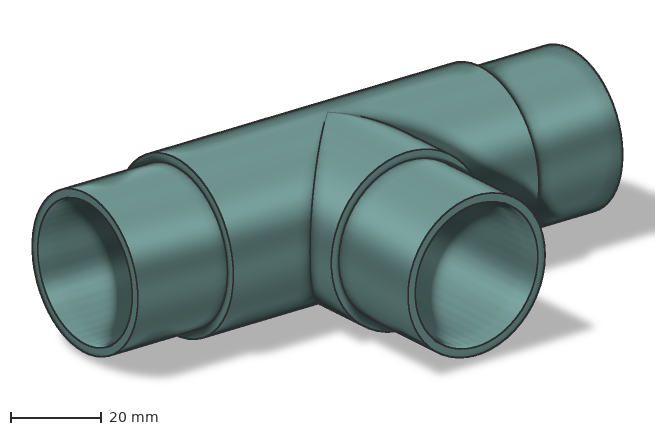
import cadquery as cq

total_length = 135.0
body_diameter = 42.4
spigot_diameter = 38.2
bore_diameter = 34.2
spigot_length = 25.0
branch_reach = 53.9

body_length = total_length - 2 * spigot_length
branch_body_reach = branch_reach - spigot_length


def run_cylinder(diameter, length):
    """Cylinder along Y, centred on the origin."""
    return cq.Workplane("XZ").circle(diameter / 2).extrude(length / 2, both=True)


def branch_cylinder(diameter, reach):
    """Cylinder along X, from the run axis outwards."""
    return cq.Workplane("YZ").circle(diameter / 2).extrude(reach)


def tee(diameter, run_length, reach):
    """Run and branch of equal diameter, joined at the origin."""
    return run_cylinder(diameter, run_length).union(branch_cylinder(diameter, reach))


body = tee(body_diameter, body_length, branch_body_reach)
spigots = tee(spigot_diameter, total_length, branch_reach)
bores = tee(bore_diameter, total_length, branch_reach)

result = body.union(spigots).cut(bores)